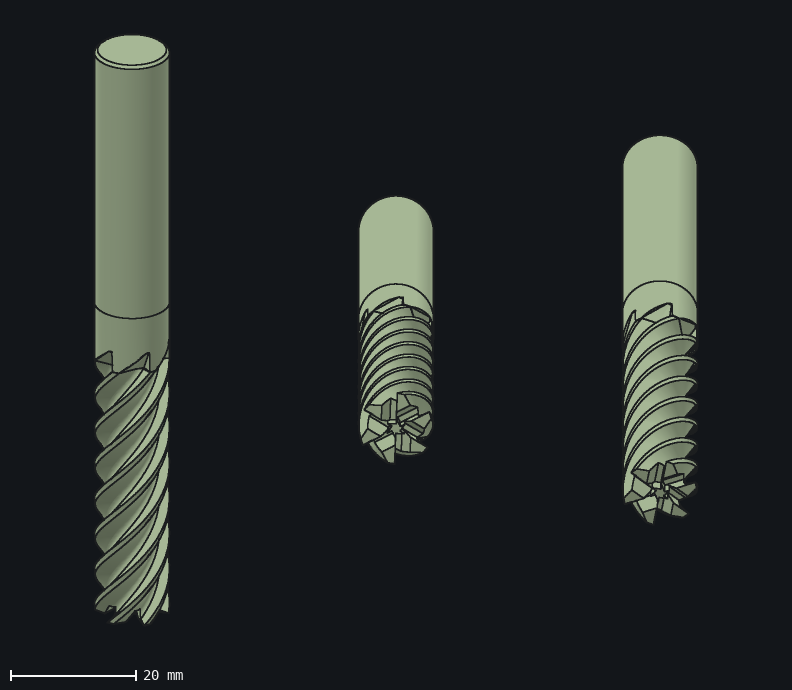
import cadquery as cq
import math

RADIUS = 6.0
LENGTH = 100.0
CUTTER_LENGTH = 55.0
FLUTED_LENGTH = 45.0
SHANK_CHAMFER = 0.5

FLUTE_COUNT = 6
HELIX_ANGLE = 45.0
CORE_RADIUS = 4.0
RAKE_FOOT_RADIUS = 4.4
BACK_FOOT_RADIUS = 4.2
HEEL_RADIUS = 5.9
RAKE_FOOT_ANGLE = -4.0
LAND_ANGLE = 11.0
FLOOR_ANGLE = -14.0
BACK_FOOT_ANGLE = -24.0

RUNOUT_LENGTH = 3.5
RUNOUT_WIDTH_ANGLE = 6.0
RUNOUT_LEAN_ANGLE = 1.0
RUNOUT_TIP_DEPTH = 0.2
CUT_MARGIN = 1.0

GASH_DEPTH = 2.0
GASH_ROOF_WIDTH = 1.0
GASH_MOUTH_WIDTH = 2.4
GASH_START = 0.8

FLUTE_PITCH = 360.0 / FLUTE_COUNT
LEAD = 2 * math.pi * RADIUS / math.tan(math.radians(HELIX_ANGLE))
TWIST = 360.0 * FLUTED_LENGTH / LEAD
HEEL_ANGLE = LAND_ANGLE - FLUTE_PITCH


def polar(radius, angle):
    """Point at a radius and an angle in degrees about the tool axis."""
    return (radius * math.cos(math.radians(angle)), radius * math.sin(math.radians(angle)))


def fluted_section():
    """Cross-section at the tip: each tooth has a land, then a rounded flute."""
    section = cq.Workplane("XY").moveTo(*polar(RADIUS, 0))
    for tooth in range(FLUTE_COUNT):
        edge = tooth * FLUTE_PITCH
        next_edge = edge + FLUTE_PITCH
        section = (
            section.lineTo(*polar(HEEL_RADIUS, edge + LAND_ANGLE))
            .lineTo(*polar(BACK_FOOT_RADIUS, next_edge + BACK_FOOT_ANGLE))
            .threePointArc(
                polar(CORE_RADIUS, next_edge + FLOOR_ANGLE),
                polar(RAKE_FOOT_RADIUS, next_edge + RAKE_FOOT_ANGLE),
            )
        )
        if tooth < FLUTE_COUNT - 1:
            section = section.lineTo(*polar(RADIUS, next_edge))
    return section.close()


def flute_runout(edge):
    """Tapering end of one flute, its steep wall above the rake edge at the given angle."""
    outer = RADIUS + CUT_MARGIN
    tip_edge = edge - RUNOUT_LEAN_ANGLE
    tip_inner = RADIUS - RUNOUT_TIP_DEPTH
    return (
        cq.Workplane("XY", origin=(0, 0, FLUTED_LENGTH))
        .polyline([
            polar(outer, edge),
            polar(CORE_RADIUS, edge),
            polar(BACK_FOOT_RADIUS, edge + BACK_FOOT_ANGLE),
            polar(RADIUS, edge + HEEL_ANGLE),
            polar(outer, edge + HEEL_ANGLE),
        ])
        .close()
        .workplane(offset=RUNOUT_LENGTH)
        .polyline([
            polar(outer, tip_edge),
            polar(tip_inner, tip_edge),
            polar(tip_inner, tip_edge - RUNOUT_WIDTH_ANGLE / 2),
            polar(RADIUS, tip_edge - RUNOUT_WIDTH_ANGLE),
            polar(outer, tip_edge - RUNOUT_WIDTH_ANGLE),
        ])
        .close()
        .loft(ruled=True)
    )


def end_gash(edge):
    """Flat-roofed notch across the tip, upright along the rake face at the given angle."""
    return (
        cq.Workplane("YZ", origin=(GASH_START, 0, 0))
        .polyline([(0, 0), (0, GASH_DEPTH), (-GASH_ROOF_WIDTH, GASH_DEPTH), (-GASH_MOUTH_WIDTH, 0)])
        .close()
        .extrude(RADIUS)
        .rotate((0, 0, 0), (0, 0, 1), edge)
    )


def make_cutter():
    teeth = fluted_section().twistExtrude(FLUTED_LENGTH, TWIST)
    neck = (
        cq.Workplane("XY", origin=(0, 0, FLUTED_LENGTH))
        .circle(RADIUS)
        .extrude(CUTTER_LENGTH - FLUTED_LENGTH)
    )
    for flute in range(FLUTE_COUNT):
        edge = flute * FLUTE_PITCH
        neck = neck.cut(flute_runout(edge + TWIST))
        teeth = teeth.cut(end_gash(edge))
    return teeth.union(neck)


def make_shank():
    return (
        cq.Workplane("XY", origin=(0, 0, CUTTER_LENGTH))
        .circle(RADIUS)
        .extrude(LENGTH - CUTTER_LENGTH)
        .faces(">Z")
        .chamfer(SHANK_CHAMFER)
    )


cutter = make_cutter()
shank = make_shank()
result = cq.Compound.makeCompound([cutter.val(), shank.val()])